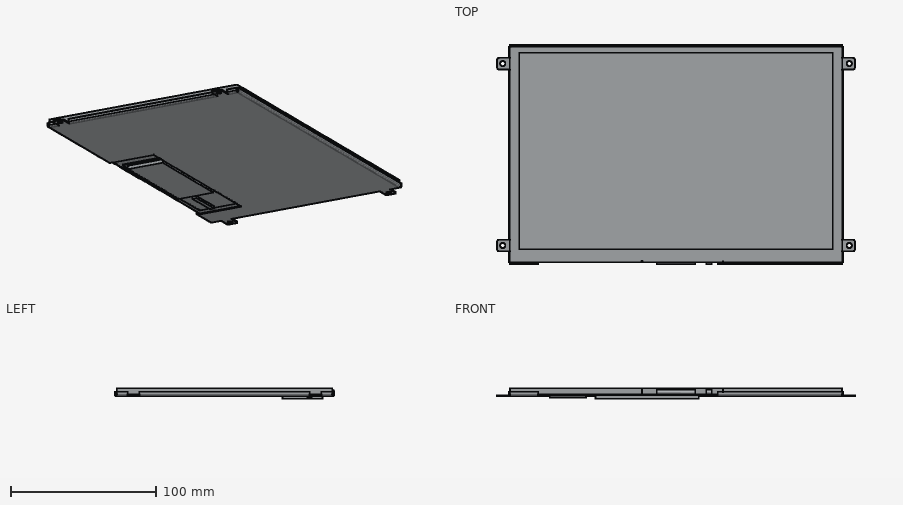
import cadquery as cq

HEIGHT = 7.5
SHEET = 0.7

FRAME_LENGTH = 229.0
FRAME_WIDTH = 148.5
FRAME_BOTTOM = 3.2
FRAME_CORNER = 0.2
FRAME_FRONT = -FRAME_WIDTH / 2

SCREEN_LENGTH = 216.0
SCREEN_WIDTH = 135.2
SCREEN_Y = 2.5
SCREEN_DEPTH = 0.7

SLIT_XS = (-23.5, 32.3)
SLIT_WIDTH = 0.5
SLIT_DEPTH = 0.7

TRAY_LENGTH = FRAME_LENGTH + 2 * SHEET
TRAY_WIDTH = 151.2
TRAY_BOTTOM = 1.7
TRAY_FLOOR = TRAY_BOTTOM + SHEET
TRAY_TOP = 5.0
BEND_RADIUS = 1.5
TRAY_CORNER_X = SHEET
TRAY_CORNER_Y = 1.5

EAR_SPAN = 246.7
EAR_WIDTH = 8.1
EAR_CORNER = 1.5
EAR_HOLE = 3.5
EAR_HOLE_X = 119.5
EAR_Y = 62.7

CABLE_RANGES = ((-13.3, 13.3), (20.7, 24.7))
CABLE_RADIUS = 1.6
CABLE_Y = -TRAY_WIDTH / 2 + CABLE_RADIUS
CABLE_Z = 4.7

COVER_X = (-55.5, 15.8)
COVER_Y = (-67.5, -40.0)
CONNECTOR_X = (-87.0, -62.0)
CONNECTOR_Y = (-60.2, -57.0)
CONNECTOR_BOTTOM = 0.86
BOARD_MARGIN = 2.5
BOARD_X = (CONNECTOR_X[0] - BOARD_MARGIN, COVER_X[1] + BOARD_MARGIN)
BOARD_Y = (COVER_Y[0] - BOARD_MARGIN, COVER_Y[1])
BOARD_BOTTOM = TRAY_FLOOR

OPENING_X = (-95.0, 28.5)
OPENING_Y = (-TRAY_WIDTH / 2, COVER_Y[1])


def block(x, y, z):
    """Box given by its (start, end) along each axis."""
    box = cq.Workplane("XY").box(x[1] - x[0], y[1] - y[0], z[1] - z[0], centered=False)
    return box.translate((x[0], y[0], z[0]))


def around(centre, size):
    """(start, end) of a stretch of the given size around a centre."""
    return (centre - size / 2, centre + size / 2)


def make_screen():
    return block(
        around(0, SCREEN_LENGTH),
        around(SCREEN_Y, SCREEN_WIDTH),
        (HEIGHT - SCREEN_DEPTH, HEIGHT),
    )


def make_slit(x):
    return block(
        around(x, SLIT_WIDTH),
        (FRAME_FRONT, FRAME_FRONT + SLIT_DEPTH),
        (FRAME_BOTTOM, HEIGHT),
    )


def make_cable(x):
    """Roll along X whose front half shows as the bend of a cable."""
    roll = cq.Workplane("YZ").center(CABLE_Y, CABLE_Z).circle(CABLE_RADIUS).extrude(x[1] - x[0])
    return roll.translate((x[0], 0, 0))


def make_frame(screen):
    frame = block(around(0, FRAME_LENGTH), around(0, FRAME_WIDTH), (FRAME_BOTTOM, HEIGHT))
    frame = frame.edges("|Z").fillet(FRAME_CORNER)
    for x in SLIT_XS:
        frame = frame.cut(make_slit(x))
    for x in CABLE_RANGES:
        frame = frame.union(make_cable(x))
    return frame.cut(screen)


def tray_shape(inset):
    """Tray as a solid block with a rounded lower rim, its floor and sides moved in by the inset."""
    shape = block(
        around(0, TRAY_LENGTH - 2 * inset),
        around(0, TRAY_WIDTH - 2 * inset),
        (TRAY_BOTTOM + inset, TRAY_TOP),
    )
    return shape.faces("<Z").edges().fillet(BEND_RADIUS - inset)


def make_corner_cutouts():
    """Four cuts that part the side walls from the front and back walls."""
    height = TRAY_TOP - TRAY_BOTTOM
    corners = cq.Workplane("XY", origin=(0, 0, TRAY_BOTTOM))
    corners = corners.rect(TRAY_LENGTH, TRAY_WIDTH, forConstruction=True).vertices()
    return corners.rect(2 * TRAY_CORNER_X, 2 * TRAY_CORNER_Y).extrude(height)


def add_ears(tray, y):
    """Open both side walls at this Y and add an ear with a screw hole at each end."""
    ear_y = around(y, EAR_WIDTH)
    wall_gaps = block(around(0, TRAY_LENGTH), ear_y, (TRAY_FLOOR, TRAY_TOP))
    strip = block(around(0, EAR_SPAN), ear_y, (TRAY_BOTTOM, TRAY_FLOOR))
    strip = strip.edges("|Z").fillet(EAR_CORNER)
    holes = cq.Workplane("XY").pushPoints([(-EAR_HOLE_X, y), (EAR_HOLE_X, y)])
    holes = holes.circle(EAR_HOLE / 2).extrude(TRAY_TOP)
    return tray.cut(wall_gaps).union(strip).cut(holes)


def make_tray():
    tray = tray_shape(0).cut(tray_shape(SHEET))
    tray = tray.cut(make_corner_cutouts())
    for y in (-EAR_Y, EAR_Y):
        tray = add_ears(tray, y)
    return tray.cut(block(OPENING_X, OPENING_Y, (TRAY_BOTTOM, TRAY_TOP)))


def make_board():
    board = block(BOARD_X, BOARD_Y, (BOARD_BOTTOM, FRAME_BOTTOM))
    cover = block(COVER_X, COVER_Y, (0, BOARD_BOTTOM))
    connector = block(CONNECTOR_X, CONNECTOR_Y, (CONNECTOR_BOTTOM, BOARD_BOTTOM))
    return board.union(cover).union(connector)


screen = make_screen()
frame = make_frame(screen)
tray = make_tray()
board = make_board()

result = cq.Compound.makeCompound([screen.val(), frame.val(), tray.val(), board.val()])